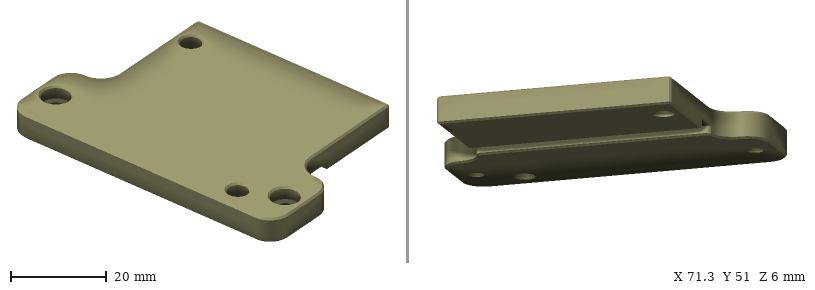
import cadquery as cq

width = 71.3
depth = 51.0
thickness = 6.0
edge_chamfer = 0.4

body_width = 51.5
corner_radius = 5.0
bar_depth = 4 * corner_radius
blend_radius = (width - body_width) / 2 - corner_radius

screw_x = width / 2 - corner_radius
screw_y = 2 * corner_radius
screw_diameter = 3.4
counterbore_diameter = 6.5
counterbore_depth = 3.0

pin_diameter = 4.7
pin_positions = [(-21.5, 43.5), (21.5, 5.55)]

slot_start = bar_depth + blend_radius
slot_width = 5.1
slot_depth = 2.0


def slot():
    """Cutter for the cross slot, with its long bottom edges broken."""
    slot_end = slot_start + slot_width
    return (
        cq.Workplane("YZ", origin=(-width / 2, 0, 0))
        .polyline([
            (slot_start - edge_chamfer, 0),
            (slot_start, edge_chamfer),
            (slot_start, slot_depth),
            (slot_end, slot_depth),
            (slot_end, edge_chamfer),
            (slot_end + edge_chamfer, 0),
        ])
        .close()
        .extrude(width)
    )


def slot_mouth(side):
    """Cutter that flares the slot walls where they meet one side face of the body."""
    outer_x = side * body_width / 2
    inner_x = outer_x - side * edge_chamfer
    slot_end = slot_start + slot_width
    return (
        cq.Workplane("XY")
        .polyline([
            (inner_x, slot_start),
            (outer_x, slot_start - edge_chamfer),
            (side * width / 2, slot_start - edge_chamfer),
            (side * width / 2, slot_end + edge_chamfer),
            (outer_x, slot_end + edge_chamfer),
            (inner_x, slot_end),
        ])
        .close()
        .extrude(slot_depth)
    )


def plate():
    """Plate with rounded ears, blending into the rear body, and broken edges."""
    bar = (
        cq.Workplane("XY")
        .rect(width, bar_depth)
        .extrude(thickness)
        .translate((0, bar_depth / 2, 0))
        .edges("|Z")
        .fillet(corner_radius)
    )
    body = cq.Workplane("XY").rect(body_width, depth).extrude(thickness).translate((0, depth / 2, 0))
    blank = bar.union(body)
    for side in (-1, 1):
        inner_x = side * body_width / 2
        blend = (
            cq.Workplane("XY")
            .moveTo(inner_x, bar_depth)
            .lineTo(inner_x + side * blend_radius, bar_depth)
            .radiusArc((inner_x, bar_depth + blend_radius), side * blend_radius)
            .close()
            .extrude(thickness)
        )
        blank = blank.union(blend)
    blank = blank.clean().edges(">Y and |Z").chamfer(edge_chamfer)
    return blank.faces(">Z or <Z").edges().chamfer(edge_chamfer)


def hole(position, diameter):
    """Cutter for a through hole."""
    return cq.Workplane("XY").center(*position).circle(diameter / 2).extrude(thickness)


def top_recess(position, diameter, recess_depth):
    """Cutter for a round recess in the top face."""
    floor = thickness - recess_depth
    return cq.Workplane("XY", origin=(*position, floor)).circle(diameter / 2).extrude(recess_depth)


def rim_chamfer(position, diameter):
    """Conical cutter that breaks the upper rim of a hole."""
    floor = thickness - edge_chamfer
    return (
        cq.Workplane("XY", origin=(*position, floor))
        .circle(diameter / 2)
        .workplane(offset=edge_chamfer)
        .circle(diameter / 2 + edge_chamfer)
        .loft()
    )


result = plate().cut(slot())

for side in (-1, 1):
    result = result.cut(slot_mouth(side))
    screw = (side * screw_x, screw_y)
    result = result.cut(hole(screw, screw_diameter))
    result = result.cut(top_recess(screw, counterbore_diameter, counterbore_depth))
    result = result.cut(rim_chamfer(screw, counterbore_diameter))

for pin in pin_positions:
    result = result.cut(hole(pin, pin_diameter))
    result = result.cut(rim_chamfer(pin, pin_diameter))